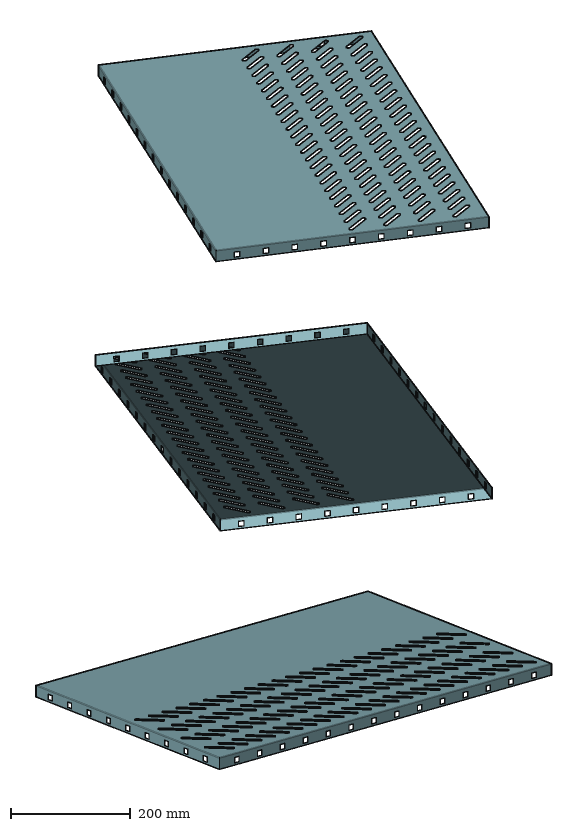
import cadquery as cq

LENGTH = 728.0
WIDTH = 475.0
HEIGHT = 21.0

SHEET = 1.0
BEND_RADIUS = 1.2

HOLE_SIDE = 9.5
HOLE_HEIGHT = 9.0
LONG_WALL_HOLES = 14
SHORT_WALL_HOLES = 9
LONG_WALL_HOLE_SPAN = 651.0
HOLE_PITCH = LONG_WALL_HOLE_SPAN / (LONG_WALL_HOLES - 1)

SLOT_LENGTH = 50.0
SLOT_WIDTH = 7.0
SLOT_ANGLE = -45
SLOT_COLUMNS = 23
SLOT_ROWS = 4
SLOT_COLUMN_SPAN = 661.0
SLOT_COLUMN_PITCH = SLOT_COLUMN_SPAN / (SLOT_COLUMNS - 1)
SLOT_ROW_PITCH = 2 * SLOT_COLUMN_PITCH
SLOT_EDGE_DISTANCE = 39.0


def block_with_rounded_top(length, width, height, radius):
    """Block on Z = 0 with its four top edges rounded."""
    block = cq.Workplane("XY").box(length, width, height, centered=(True, True, False))
    return block.edges(">Z").fillet(radius)


def tray():
    outside = block_with_rounded_top(LENGTH, WIDTH, HEIGHT, BEND_RADIUS)
    inside = block_with_rounded_top(
        LENGTH - 2 * SHEET, WIDTH - 2 * SHEET, HEIGHT - SHEET, BEND_RADIUS - SHEET
    )
    return outside.cut(inside)


def wall_holes(plane, count, span):
    """Centred row of square bars that pass through a pair of opposite walls."""
    return (
        cq.Workplane(plane)
        .center(0, HOLE_HEIGHT)
        .rarray(HOLE_PITCH, 7, count, 1)
        .rect(HOLE_SIDE, HOLE_SIDE)
        .extrude(span, both=True)
    )


def vent_slots():
    rows_depth = (SLOT_ROWS - 1) * SLOT_ROW_PITCH
    field_centre_y = WIDTH / 2 - SLOT_EDGE_DISTANCE - rows_depth / 2
    return (
        cq.Workplane("XY")
        .center(0, field_centre_y)
        .rarray(SLOT_COLUMN_PITCH, SLOT_ROW_PITCH, SLOT_COLUMNS, SLOT_ROWS)
        .slot2D(SLOT_LENGTH, SLOT_WIDTH, SLOT_ANGLE)
        .extrude(HEIGHT)
    )


result = (
    tray()
    .cut(wall_holes("XZ", LONG_WALL_HOLES, WIDTH))
    .cut(wall_holes("YZ", SHORT_WALL_HOLES, LENGTH))
    .cut(vent_slots())
)